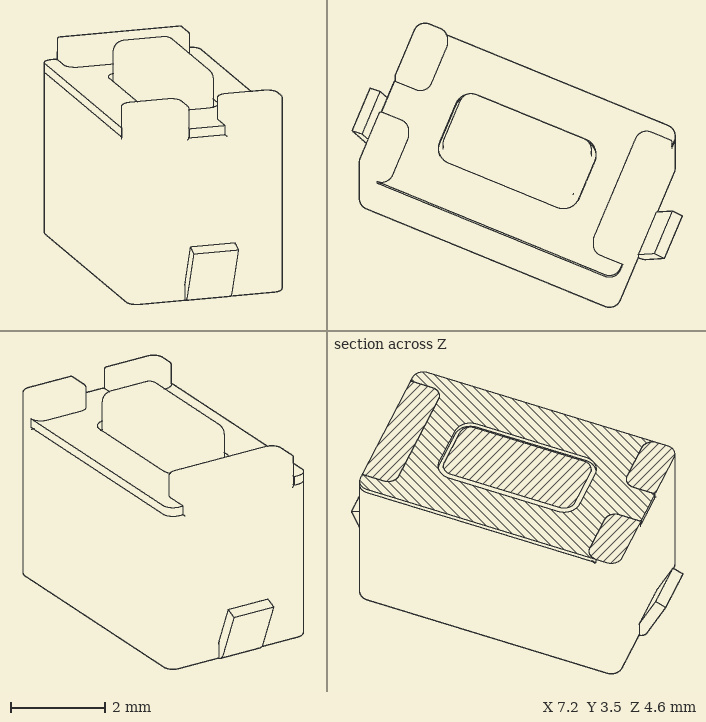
import cadquery as cq
import math


BODY_LENGTH = 6.0
BODY_WIDTH = 3.5
SHOULDER_Z = 3.6
CORNER_RADIUS = 0.25
EDGE_ROUND = 0.05

POST_TOP_Z = 4.3
POST_LENGTH = 0.75
WIDE_POST_WIDTH = 2.8
POST_GAP = 0.8

BUTTON_LENGTH = 3.0
BUTTON_WIDTH = 1.4
BUTTON_TOP_Z = 4.6
BUTTON_RADIUS = 0.25

COVER_THICKNESS = 0.2
BUTTON_CLEARANCE = 0.1

OVERALL_LENGTH = 7.2
TERMINAL_WIDTH = 1.0
TERMINAL_THICKNESS = 0.25
TERMINAL_TILT = 22.5
TERMINAL_TIP_Z = 1.2
FOOT_END_X = 2.0

TOLERANCE = 0.001

HALF_LENGTH = BODY_LENGTH / 2
HALF_WIDTH = BODY_WIDTH / 2


def rounded_block(length, width, radius, bottom, top):
    """Centred upright block with rounded vertical edges."""
    block = cq.Workplane("XY").workplane(offset=bottom).rect(length, width).extrude(top - bottom)
    return block.edges("|Z").fillet(radius)


def box_between(x_range, y_range, z_range):
    """Box given by its limits along each axis."""
    size = [limits[1] - limits[0] for limits in (x_range, y_range, z_range)]
    corner = (x_range[0], y_range[0], z_range[0])
    return cq.Workplane("XY").box(*size, centered=False).translate(corner)


def make_posts(bottom, top):
    """One wide post at the -X end and a pair of narrow posts at the +X end."""
    height = (bottom, top)
    half_wide = WIDE_POST_WIDTH / 2
    wide = box_between((-HALF_LENGTH, -HALF_LENGTH + POST_LENGTH), (-half_wide, half_wide), height)
    posts = [wide.edges("|Z and >X").fillet(CORNER_RADIUS)]
    narrow_x = (HALF_LENGTH - POST_LENGTH, HALF_LENGTH)
    for outer, y_range in (("<Y", (-HALF_WIDTH, -POST_GAP / 2)), (">Y", (POST_GAP / 2, HALF_WIDTH))):
        narrow = box_between(narrow_x, y_range, height)
        posts.append(narrow.edges(f"|Z and (<X or {outer})").fillet(CORNER_RADIUS))
    return posts


def terminal_profile():
    """Outline in XZ of the +X terminal: flat foot, bend about a sharp inner corner, tilted leg."""
    tilt = math.radians(TERMINAL_TILT)
    along = (math.sin(tilt), math.cos(tilt))
    outward = (math.cos(tilt), -math.sin(tilt))
    tip_outer = (OVERALL_LENGTH / 2, TERMINAL_TIP_Z)
    tip_inner = tuple(tip_outer[i] - TERMINAL_THICKNESS * outward[i] for i in (0, 1))
    leg_length = (tip_inner[1] - TERMINAL_THICKNESS) / along[1]
    bend = (tip_inner[0] - leg_length * along[0], TERMINAL_THICKNESS)
    mid_angle = -(math.pi / 2 + tilt) / 2

    def on_bend(direction):
        return tuple(bend[i] + TERMINAL_THICKNESS * direction[i] for i in (0, 1))

    return (
        cq.Workplane("XZ")
        .moveTo(FOOT_END_X, 0)
        .lineTo(bend[0], 0)
        .threePointArc(on_bend((math.cos(mid_angle), math.sin(mid_angle))), on_bend(outward))
        .lineTo(*tip_outer)
        .lineTo(*tip_inner)
        .lineTo(*bend)
        .lineTo(FOOT_END_X, TERMINAL_THICKNESS)
        .close()
    )


def make_terminals():
    """A mirrored pair of terminals, the +X one first."""
    terminal = terminal_profile().extrude(TERMINAL_WIDTH / 2, both=True)
    return [terminal.rotate((0, 0, 0), (0, 0, 1), angle) for angle in (0, 180)]


def needs_rounding(edge):
    """True for the post tops and for the sharp edges where shoulder and posts meet the outer walls."""
    middle = edge.positionAt(0.5)
    if abs(middle.z - POST_TOP_Z) < TOLERANCE:
        return True
    beyond_x = max(abs(middle.x) - (HALF_LENGTH - CORNER_RADIUS), 0)
    beyond_y = max(abs(middle.y) - (HALF_WIDTH - CORNER_RADIUS), 0)
    on_outer_wall = abs(math.hypot(beyond_x, beyond_y) - CORNER_RADIUS) < TOLERANCE
    on_shoulder = abs(middle.z - SHOULDER_Z) < TOLERANCE
    on_post_side = middle.z > SHOULDER_Z and abs(middle.y) < HALF_WIDTH - CORNER_RADIUS - TOLERANCE
    return on_outer_wall and (on_shoulder or on_post_side)


def add_button(housing):
    """Button moulded onto the shoulder, with a small round at its base."""
    block = cq.Workplane("XY").workplane(offset=SHOULDER_Z).rect(BUTTON_LENGTH, BUTTON_WIDTH)
    button = block.extrude(BUTTON_TOP_Z - SHOULDER_Z).edges("|Z or >Z").fillet(BUTTON_RADIUS)
    half_length = BUTTON_LENGTH / 2 + TOLERANCE
    half_width = BUTTON_WIDTH / 2 + TOLERANCE
    base_edges = cq.selectors.BoxSelector(
        (-half_length, -half_width, SHOULDER_Z - TOLERANCE),
        (half_length, half_width, SHOULDER_Z + TOLERANCE),
    )
    return housing.union(button).edges(base_edges).fillet(EDGE_ROUND)


def make_housing(terminals):
    """Block with posts and button, recessed to receive the terminals."""
    housing = rounded_block(BODY_LENGTH, BODY_WIDTH, CORNER_RADIUS, 0, SHOULDER_Z)
    for post in make_posts(SHOULDER_Z, POST_TOP_Z):
        housing = housing.union(post)
    housing = housing.faces("<Z").edges().fillet(EDGE_ROUND)
    housing = housing.edges().filter(needs_rounding).fillet(EDGE_ROUND)
    housing = add_button(housing)
    for terminal in terminals:
        housing = housing.cut(terminal)
    return housing


def make_cover():
    """Plate flush with the housing walls, cut out around the posts and clear of the button."""
    top = SHOULDER_Z + COVER_THICKNESS
    cover = rounded_block(BODY_LENGTH, BODY_WIDTH, CORNER_RADIUS, SHOULDER_Z, top)
    for post in make_posts(SHOULDER_Z, top):
        cover = cover.cut(post)
    opening = rounded_block(
        BUTTON_LENGTH + 2 * BUTTON_CLEARANCE,
        BUTTON_WIDTH + 2 * BUTTON_CLEARANCE,
        BUTTON_RADIUS + BUTTON_CLEARANCE,
        SHOULDER_Z,
        top,
    )
    return cover.cut(opening)


terminals = make_terminals()
housing = make_housing(terminals)
cover = make_cover()
bodies = [housing, cover, *terminals]
result = cq.Compound.makeCompound([body.solids().val() for body in bodies])